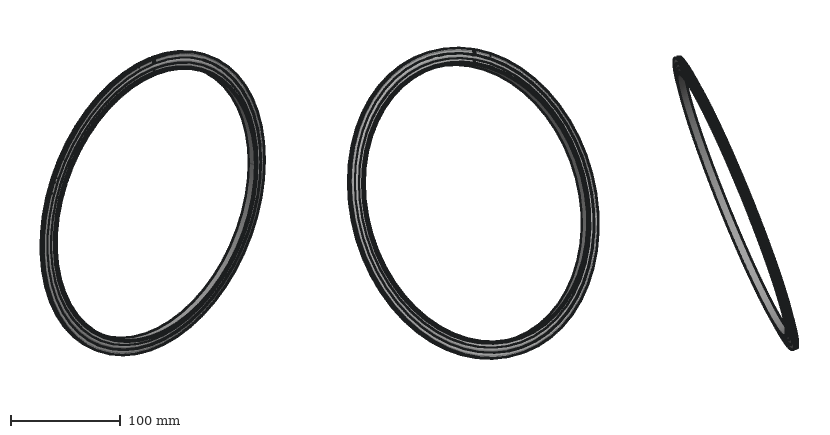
import cadquery as cq
import math

outer_radius = 143.5
outer_ring_bore = 138.5
web_radius = 134.0
sleeve_radius = 130.3
centering_bore = 128.5

sleeve_width = 8.0
ring_width = 4.0

seal_diameter = 5.5
seal_radius = 135.8

split_width = 2.0
slit_width = 0.3

groove_width = 2.0
groove_floor = 140.5

wire_diameter = 1.7
wire_length = 38.0

wire_radius = groove_floor + wire_diameter / 2
wire_angle = 2 * math.degrees(math.asin(wire_length / 2 / wire_radius))
cut_radius = outer_radius + 3.0


def revolved(profile, angle=360):
    """Turn a profile in the XY plane, where Y is the radius, about the X axis."""
    return profile.revolve(angle, (0, 0, 0), (1, 0, 0))


def band(inner_radius, radius, width):
    """Ring of rectangular section centred on X = 0."""
    middle_radius = (inner_radius + radius) / 2
    return revolved(cq.Workplane("XY").moveTo(0, middle_radius).rect(width, radius - inner_radius))


def gap_at_top(width):
    """Cutter on the XZ plane that opens a ring at its +Z side only."""
    return cq.Workplane("XY").box(2 * sleeve_width, width, cut_radius, centered=(True, True, False))


def make_seal():
    return revolved(cq.Workplane("XY").moveTo(0, seal_radius).circle(seal_diameter / 2))


def make_centering_ring(seal):
    sleeve = band(centering_bore, sleeve_radius, sleeve_width)
    web = band(centering_bore, web_radius, ring_width)
    return sleeve.union(web).cut(seal).cut(gap_at_top(slit_width))


def make_groove():
    """Cutter for the groove: straight walls above a semicircular floor."""
    half_width = groove_width / 2
    wall_bottom = groove_floor + half_width
    profile = (
        cq.Workplane("XY")
        .moveTo(half_width, cut_radius)
        .lineTo(-half_width, cut_radius)
        .lineTo(-half_width, wall_bottom)
        .threePointArc((0, groove_floor), (half_width, wall_bottom))
        .close()
    )
    return revolved(profile)


def make_outer_ring():
    ring = band(outer_ring_bore, outer_radius, ring_width)
    return ring.cut(make_groove()).cut(gap_at_top(split_width))


def make_spring_wire():
    """Arc of wire starting at +Y, turned so that its middle is at +Z."""
    section = cq.Workplane("XY").moveTo(0, wire_radius).circle(wire_diameter / 2)
    wire = revolved(section, wire_angle)
    return wire.rotate((0, 0, 0), (1, 0, 0), 90 - wire_angle / 2)


seal = make_seal()
centering_ring = make_centering_ring(seal)
outer_ring = make_outer_ring()
spring_wire = make_spring_wire()

result = cq.Compound.makeCompound(
    [centering_ring.val(), seal.val(), outer_ring.val(), spring_wire.val()]
)